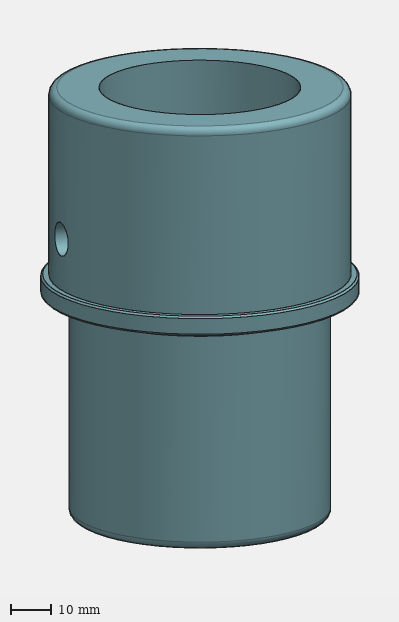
import cadquery as cq

total_height = 110.0
body_height = 48.0
flange_thickness = 5.0
flange_top = total_height - body_height
flange_bottom = flange_top - flange_thickness

body_diameter = 75.0
flange_diameter = 79.0
spigot_diameter = 65.0
bore_diameter = 50.0

end_fillet = 2.0
flange_chamfer = 0.5

relief_height = 2.0
relief_depth = 1.0

hole_diameter = 8.5
hole_height_above_flange = 13.0


def cylinder(diameter, bottom, height):
    """Upright cylinder on the Z axis."""
    return cq.Workplane("XY").workplane(offset=bottom).circle(diameter / 2).extrude(height)


def make_body():
    body = cylinder(body_diameter, flange_top, body_height)
    return body.faces(">Z").edges().fillet(end_fillet)


def make_flange():
    flange = cylinder(flange_diameter, flange_bottom, flange_thickness)
    return flange.faces("<Z or >Z").edges().chamfer(flange_chamfer)


def make_spigot():
    spigot = cylinder(spigot_diameter, 0, flange_bottom)
    spigot = spigot.faces(">Z").edges().chamfer(relief_height, relief_depth)
    return spigot.faces("<Z").edges().fillet(end_fillet)


def make_radial_hole():
    """Cutter running from the axis out through the -Y wall only."""
    hole_plane = cq.Workplane("XZ", origin=(0, 0, flange_top + hole_height_above_flange))
    return hole_plane.circle(hole_diameter / 2).extrude(body_diameter)


result = make_spigot().union(make_flange()).union(make_body())
result = result.cut(cylinder(bore_diameter, 0, total_height))
result = result.cut(make_radial_hole())